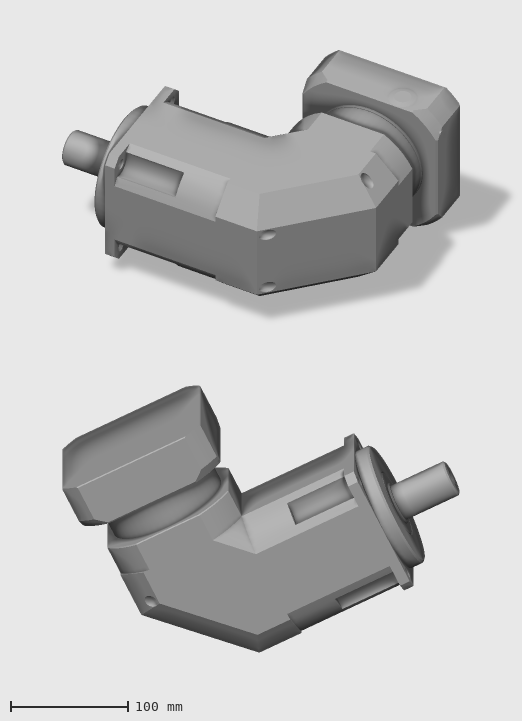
import cadquery as cq
import math


half_side = 57.5
corner_radius = 65.0
corner_flat = math.sqrt(corner_radius**2 - half_side**2)
edge_break = 1.0

shaft_tip_x = -229.0
collar_x = -178.5
pilot_x = -176.7
mount_face_x = -164.0
plate_back_x = -155.0
pocket_end_x = -98.5
shaft_diameter = 32.0
shaft_chamfer = 1.5
collar_diameter = 37.8
pilot_diameter = 110.0
pilot_chamfer = 1.8
seal_groove_diameter = 58.0
seal_groove_depth = 1.0
centre_mouth_diameter = 12.5
centre_hole_diameter = 10.0
centre_hole_depth = 8.8
drill_point_angle = 118

plate_corner_chamfer = 7.7
bolt_offset = 46.0
bolt_hole_diameter = 9.5
pocket_offset = 47.5
pocket_diameter = 23.3

bevel = 75.0
elbow_chamfer = 21.8
screw_hole_diameter = 11.0
screw_circle_radius = 58.7
screw_angles = (60, 150, 210, 300)
screw_hole_start_x = -26.5

input_block_y = 83.5
input_tube_diameter = 102.0
joint_chamfer = 0.5

flange_half = 65.5
flange_bottom_y = 112.5
flange_top_y = 154.0
flange_corner_radius = 83.0
flange_chamfer = 1.5
flange_cone_radius = 76.5
flange_cone_height = 9.0
collar_height = 2.5
adapter_collar_diameter = 103.2
joint_y = flange_bottom_y - collar_height

plug_x = 25.7
plug_y = 124.5
plug_diameter = 25.0
plug_top_diameter = 14.8
plug_rise = 1.0

boss_y = 119.2
boss_z = 45.5
boss_diameter = 5.0
boss_rise = 0.5


def cylinder_x(diameter, start, end):
    return cq.Workplane("YZ", origin=(start, 0, 0)).circle(diameter / 2).extrude(end - start)


def cylinder_y(diameter, start, end):
    return cq.Workplane("XZ", origin=(0, start, 0)).circle(diameter / 2).extrude(start - end)


def box_between(low, high):
    size = [b - a for a, b in zip(low, high)]
    return cq.Workplane("XY").box(*size, centered=False).translate(low)


def output_housing():
    """Square housing with rounded corners, from the plate to the elbow, with four bolt pockets."""
    square = box_between((plate_back_x, -half_side, -half_side), (-half_side, half_side, half_side))
    housing = square.intersect(cylinder_x(2 * corner_radius, plate_back_x, -half_side))
    pockets = (
        cq.Workplane("YZ", origin=(plate_back_x, 0, 0))
        .rect(2 * pocket_offset, 2 * pocket_offset, forConstruction=True)
        .vertices()
        .circle(pocket_diameter / 2)
        .extrude(pocket_end_x - plate_back_x)
    )
    return housing.cut(pockets)


def mounting_plate():
    plate = box_between((mount_face_x, -half_side, -half_side), (plate_back_x, half_side, half_side))
    plate = plate.edges("|X").chamfer(plate_corner_chamfer)
    return (
        plate.faces("<X")
        .workplane(centerOption="CenterOfBoundBox")
        .rect(2 * bolt_offset, 2 * bolt_offset, forConstruction=True)
        .vertices()
        .hole(bolt_hole_diameter)
    )


def pilot_and_shaft():
    pilot = cylinder_x(pilot_diameter, pilot_x, mount_face_x).faces("<X").chamfer(pilot_chamfer)
    groove_radius = seal_groove_diameter / 2
    seal_groove = (
        cq.Workplane("XY")
        .moveTo(pilot_x, groove_radius - seal_groove_depth)
        .lineTo(pilot_x + seal_groove_depth, groove_radius)
        .lineTo(pilot_x, groove_radius + seal_groove_depth)
        .close()
        .revolve(360, (0, 0, 0), (1, 0, 0))
    )
    collar = cylinder_x(collar_diameter, collar_x, pilot_x).faces("<X").chamfer(edge_break)
    shaft = cylinder_x(shaft_diameter, shaft_tip_x, collar_x).faces("<X").chamfer(shaft_chamfer)
    return pilot.cut(seal_groove).union(collar).union(shaft)


def centre_hole():
    """Drilled shaft centre with a chamfered mouth and a conical bottom."""
    mouth_radius = centre_mouth_diameter / 2
    radius = centre_hole_diameter / 2
    cylinder_end_x = shaft_tip_x + centre_hole_depth
    point_length = radius / math.tan(math.radians(drill_point_angle / 2))
    return (
        cq.Workplane("XY")
        .moveTo(shaft_tip_x, 0)
        .lineTo(shaft_tip_x, mouth_radius)
        .lineTo(shaft_tip_x + mouth_radius - radius, radius)
        .lineTo(cylinder_end_x, radius)
        .lineTo(cylinder_end_x + point_length, 0)
        .close()
        .revolve(360, (0, 0, 0), (1, 0, 0))
    )


def inner_corner_cut():
    """Rounded corners of the output housing, carried diagonally across the elbow's inner corner."""
    middle = corner_radius / math.sqrt(2)
    diagonal = cq.Vector(2 * half_side, 2 * half_side, 0)
    upper_corner = (
        cq.Workplane("YZ", origin=(-half_side, 0, 0))
        .moveTo(corner_flat, half_side)
        .threePointArc((middle, middle), (half_side, corner_flat))
        .lineTo(half_side, half_side)
        .close()
        .wire()
        .val()
    )
    upper_cut = cq.Workplane(cq.Solid.extrudeLinear(upper_corner, [], diagonal))
    return upper_cut.union(upper_cut.mirror("XY"))


def elbow():
    """Cube with its outer corner bevelled and the edges around the outside chamfered."""
    body = (
        cq.Workplane("XY", origin=(0, 0, -half_side))
        .moveTo(-half_side, -half_side)
        .lineTo(half_side - bevel, -half_side)
        .lineTo(half_side, bevel - half_side)
        .lineTo(half_side, half_side)
        .lineTo(-half_side, half_side)
        .close()
        .extrude(2 * half_side)
    )
    outer_rim = body.faces("|Z").edges("not(<X or >Y)")
    return outer_rim.chamfer(elbow_chamfer).cut(inner_corner_cut())


def screw_holes():
    """Screw clearance holes along X, breaking out through the bevel and the chamfers."""
    holes = cq.Workplane("XY")
    for angle in screw_angles:
        y = screw_circle_radius * math.cos(math.radians(angle))
        z = screw_circle_radius * math.sin(math.radians(angle))
        hole = cylinder_x(screw_hole_diameter, screw_hole_start_x, half_side)
        holes = holes.add(hole.translate((0, y, z)))
    return holes.combine()


def input_housing():
    square = box_between((-half_side, half_side, -half_side), (half_side, input_block_y, half_side))
    block = square.intersect(cylinder_y(2 * corner_radius, half_side, input_block_y))
    block = block.faces(">Y").chamfer(edge_break)
    tube = cylinder_y(input_tube_diameter, input_block_y, joint_y).faces(">Y").chamfer(joint_chamfer)
    return block.union(tube)


def make_gearbox():
    body = output_housing().union(mounting_plate()).union(pilot_and_shaft())
    body = body.union(elbow()).union(input_housing())
    return body.cut(centre_hole()).cut(screw_holes())


def flange_envelope():
    """Solid of revolution that rounds the flange corners and tapers them toward the gearbox."""
    return (
        cq.Workplane("XY")
        .moveTo(0, flange_bottom_y)
        .lineTo(flange_cone_radius, flange_bottom_y)
        .lineTo(flange_corner_radius, flange_bottom_y + flange_cone_height)
        .lineTo(flange_corner_radius, flange_top_y)
        .lineTo(0, flange_top_y)
        .close()
        .revolve(360, (0, 0, 0), (0, 1, 0))
    )


def adapter_flange():
    low = (-flange_half, flange_bottom_y, -flange_half)
    high = (flange_half, flange_top_y, flange_half)
    flange = box_between(low, high).faces("<Y").chamfer(flange_chamfer)
    return flange.faces(">Y").chamfer(edge_break).intersect(flange_envelope())


def access_plug():
    """Low conical plug raised from the top of the flange."""
    return (
        cq.Workplane("XY", origin=(plug_x, plug_y, flange_half))
        .circle(plug_diameter / 2)
        .workplane(offset=plug_rise)
        .circle(plug_top_diameter / 2)
        .loft()
    )


def side_boss():
    boss = cylinder_x(boss_diameter, 0, flange_half + boss_rise)
    return boss.translate((0, boss_y, boss_z))


def make_adapter():
    collar = cylinder_y(adapter_collar_diameter, joint_y, flange_bottom_y)
    collar = collar.faces("<Y").chamfer(joint_chamfer)
    return adapter_flange().union(collar).union(access_plug()).union(side_boss())


gearbox = make_gearbox().solids()
adapter = make_adapter().solids()

result = cq.Compound.makeCompound([gearbox.val(), adapter.val()])